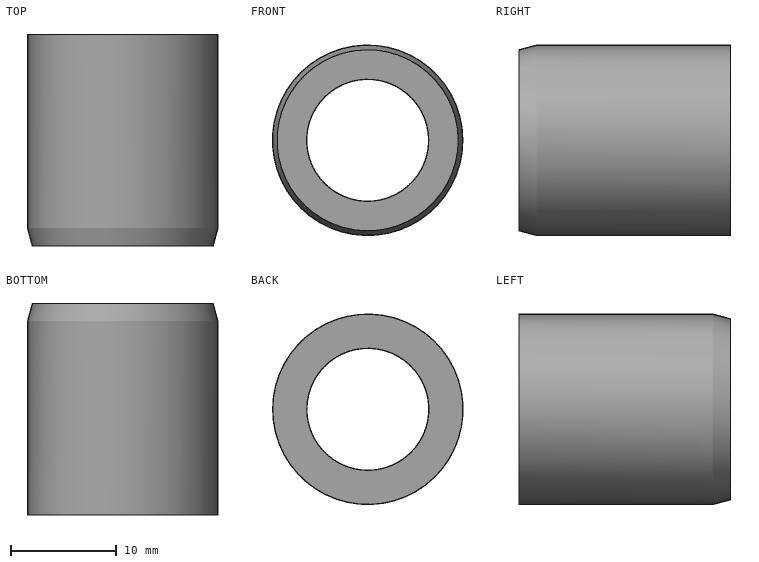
import cadquery as cq
import math

length = 20.0
outer_diameter = 18.0
bore_diameter = 11.5
lead_in_length = 1.68
lead_in_angle = 15.0

outer_radius = outer_diameter / 2
bore_radius = bore_diameter / 2
lead_in_depth = lead_in_length * math.tan(math.radians(lead_in_angle))

wall_section = [
    (bore_radius, 0),
    (outer_radius - lead_in_depth, 0),
    (outer_radius, lead_in_length),
    (outer_radius, length),
    (bore_radius, length),
]

result = (
    cq.Workplane("XY")
    .polyline(wall_section)
    .close()
    .revolve(360, (0, 0, 0), (0, 1, 0))
)